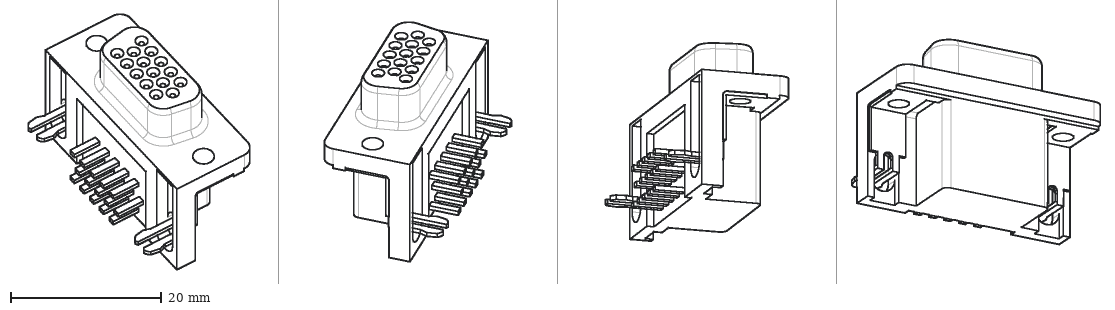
import cadquery as cq
import math


width = 30.8
housing_height = 15.8
flange_depth = 12.63
flange_thickness = 2.68
flange_corner_radius = 1.7
wall_depth = 3.0
body_depth = 10.9
body_half_width = 8.0
body_edge_radius = 0.92
inner_corner_radius = 0.62
rib_start = 9.18
flange_underside = housing_height - flange_thickness

recess_width = 16.1
recess_height = 12.75
recess_depth = 1.0

total_height = 21.8
shell_center_y = 6.28
shell_depth = 7.95
shell_mean_half_width = 7.98
shell_side_angle = 10.0
shell_corner_radius = 2.55
shell_base_radius = 0.8
rim_inset = 0.35
rim_height = 0.85

contacts_per_row = 5
contact_pitch = 2.28
socket_row_pitch = 1.97
socket_mouth_diameter = 1.7
socket_bore_diameter = 0.7
socket_cone_depth = 0.55
socket_depth = 3.7
socket_outer_row_x = -0.293
socket_row_shift = 1.02
socket_middle_row_x = socket_outer_row_x + socket_row_shift
pin_width = 1.0
pin_thickness = 0.62
pin_length = 3.1
pin_row_pitch = 2.53
pin_middle_row_z = 4.37
pin_outer_row_x = -0.045
pin_middle_row_x = pin_outer_row_x + contact_pitch / 2

mount_x = 12.5
mount_y = 6.3
mount_hole_diameter = 2.83
pocket_width = 3.73
pocket_top = 15.35
pocket_depth = 1.82
pocket_bottom = 1.7
back_slot_top = 6.95

sheet = 0.5
bracket_half_width = 2.65
bracket_step_z = 6.47
slot_half_width = 0.65
slot_top = 6.68
leg_top = pin_middle_row_z + pin_thickness / 2
leg_bottom = pin_middle_row_z - pin_thickness / 2
leg_half_width = 1.65
barb_half_width = 2.03
barb_start = 1.05
barb_peak = 2.1
leg_tip_start = 3.45
leg_tip_half_width = 1.8
leg_round_depth = 3.75
leg_round_middle = 1.5
leg_length = 4.05
leg_tip = 1.0
leg_inner_tip = 3.85


def block(x_min, x_max, y_min, y_max, z_min, z_max):
    """Box given by its limits."""
    size = (x_max - x_min, y_max - y_min, z_max - z_min)
    return cq.Workplane("XY").box(*size, centered=False).translate((x_min, y_min, z_min))


def make_housing():
    """Flange, board-side wall, central body and the rib under the flange."""
    half = width / 2
    flange = block(-half, half, 0, flange_depth, flange_underside, housing_height)
    flange = flange.edges("|Z and >Y").fillet(flange_corner_radius)
    body_top = flange_underside - sheet
    wall = block(-half, half, 0, wall_depth, 0, flange_underside)
    rib = block(-half, half, rib_start, body_depth, body_top, flange_underside)
    body = block(-body_half_width, body_half_width, 0, body_depth, 0, body_top)
    body = body.edges("|Z and >Y").fillet(body_edge_radius)
    neck = block(-body_half_width, body_half_width, 0, body_depth, body_top, flange_underside)
    r = inner_corner_radius
    corner = block(-half, half, wall_depth, wall_depth + r, flange_underside - r, flange_underside)
    round_cut = (
        cq.Workplane("YZ", origin=(-half, wall_depth + r, flange_underside - r))
        .circle(r)
        .extrude(width)
    )
    return flange.union(wall).union(corner.cut(round_cut)).union(body).union(neck).union(rib)


def make_shell():
    """D-shaped shell with a flared foot; its rim arc is cut short by the flat mating face."""
    half_depth = shell_depth / 2
    spread = half_depth * math.tan(math.radians(shell_side_angle))
    upper = shell_mean_half_width + spread
    lower = shell_mean_half_width - spread
    rim_radius = (rim_height**2 + rim_inset**2) / (2 * rim_inset)
    uncut_top = total_height - rim_height + rim_radius
    outline = [(-lower, -half_depth), (lower, -half_depth), (upper, half_depth), (-upper, half_depth)]
    shell = (
        cq.Workplane("XY", origin=(0, shell_center_y, housing_height))
        .polyline(outline)
        .close()
        .extrude(uncut_top - housing_height)
        .edges("|Z")
        .fillet(shell_corner_radius)
        .faces(">Z")
        .edges()
        .fillet(rim_radius)
    )
    above = block(-width, width, 0, flange_depth, total_height, uncut_top)
    return shell.cut(above)


def row_positions(center):
    """X positions of the contacts in a row with the given middle."""
    first = center - contact_pitch * (contacts_per_row - 1) / 2
    return [first + contact_pitch * i for i in range(contacts_per_row)]


def make_sockets():
    """Blind bores with conical mouths in the mating face."""
    points = []
    for row in (-1, 0, 1):
        center = socket_outer_row_x if row else socket_middle_row_x
        points += [(x, mount_y + row * socket_row_pitch) for x in row_positions(center)]
    mouth = socket_mouth_diameter / 2
    bore = socket_bore_diameter / 2
    profile = [
        (0, 0),
        (-mouth, 0),
        (-bore, -socket_cone_depth),
        (-bore, -socket_depth),
        (0, -socket_depth),
    ]
    socket = (
        cq.Workplane("XZ")
        .polyline(profile)
        .close()
        .revolve(360, (0, 0), (0, 1))
        .translate((0, 0, total_height))
        .val()
    )
    return cq.Workplane("XY").pushPoints(points).eachpoint(lambda place: socket.moved(place))


def make_pins():
    """Three rows of straight pins rising from the floor of the recess."""
    pins = cq.Workplane("XY")
    for row in (-1, 0, 1):
        center = pin_outer_row_x if row else pin_middle_row_x
        z = pin_middle_row_z + row * pin_row_pitch
        for x in row_positions(center):
            pins = pins.union(
                block(
                    x - pin_width / 2, x + pin_width / 2,
                    -pin_length, recess_depth + pin_thickness,
                    z - pin_thickness / 2, z + pin_thickness / 2,
                )
            )
    return pins


def make_pocket(x):
    """Round-bottomed board-lock pocket, with a round-topped slot behind it open at the bottom."""
    r = pocket_width / 2
    pocket = block(x - r, x + r, 0, pocket_depth, pocket_bottom + r, pocket_top)
    pocket_end = cq.Workplane("XZ", origin=(x, 0, pocket_bottom + r)).circle(r).extrude(-pocket_depth)
    slot = block(x - r, x + r, pocket_depth, wall_depth, 0, back_slot_top - r)
    slot_end = cq.Workplane("XZ", origin=(x, 0, back_slot_top - r)).circle(r).extrude(-wall_depth)
    return pocket.union(pocket_end).union(slot).union(slot_end)


def make_leg(side):
    """One snap-in leg with an outward barb, a rounded outer tip and a bevelled inner one."""
    outline = (
        cq.Workplane("XY", origin=(0, 0, leg_bottom))
        .moveTo(side * slot_half_width, wall_depth + sheet)
        .lineTo(side * slot_half_width, -leg_inner_tip)
        .lineTo(side * leg_tip, -leg_length)
        .threePointArc(
            (side * leg_round_middle, -leg_round_depth),
            (side * leg_tip_half_width, -leg_tip_start),
        )
        .lineTo(side * barb_half_width, -barb_peak)
        .lineTo(side * leg_half_width, -barb_start)
        .lineTo(side * leg_half_width, wall_depth + sheet)
        .close()
    )
    return outline.extrude(leg_top - leg_bottom)


def make_bracket(x):
    """Bent sheet under the flange and behind the wall, with two legs through the back slot."""
    back = wall_depth + sheet
    half = bracket_half_width
    shelf = block(-half, half, wall_depth, rib_start, flange_underside - sheet, flange_underside)
    plate = block(-half, half, wall_depth, back, bracket_step_z, flange_underside)
    bent = shelf.union(plate).edges("|X and >Z and <Y").fillet(inner_corner_radius)
    stem = block(-leg_half_width, leg_half_width, wall_depth, back, leg_bottom, bracket_step_z)
    slot_center = slot_top - slot_half_width
    slot = block(-slot_half_width, slot_half_width, wall_depth, back, leg_bottom, slot_center)
    slot_end = (
        cq.Workplane("XZ", origin=(0, wall_depth, slot_center))
        .circle(slot_half_width)
        .extrude(-sheet)
    )
    bracket = bent.union(stem).cut(slot).cut(slot_end)
    return bracket.union(make_leg(-1)).union(make_leg(1)).translate((x, 0, 0))


def make_mount_holes():
    """Round holes through the flange and the bracket shelves."""
    return (
        cq.Workplane("XY", origin=(0, mount_y, flange_underside - sheet))
        .pushPoints([(-mount_x, 0), (mount_x, 0)])
        .circle(mount_hole_diameter / 2)
        .extrude(flange_thickness + sheet)
    )


housing = make_housing().union(make_shell())

foot_box = cq.selectors.BoxSelector(
    (-mount_x, sheet, housing_height - sheet),
    (mount_x, flange_depth - sheet, housing_height + sheet),
    boundingbox=True,
)
housing = housing.edges(foot_box).fillet(shell_base_radius)

recess = block(-recess_width / 2, recess_width / 2, 0, recess_depth, 0, recess_height)
result = housing.cut(recess).cut(make_sockets()).union(make_pins())
for lock_x in (-mount_x, mount_x):
    result = result.cut(make_pocket(lock_x)).union(make_bracket(lock_x))
result = result.cut(make_mount_holes())